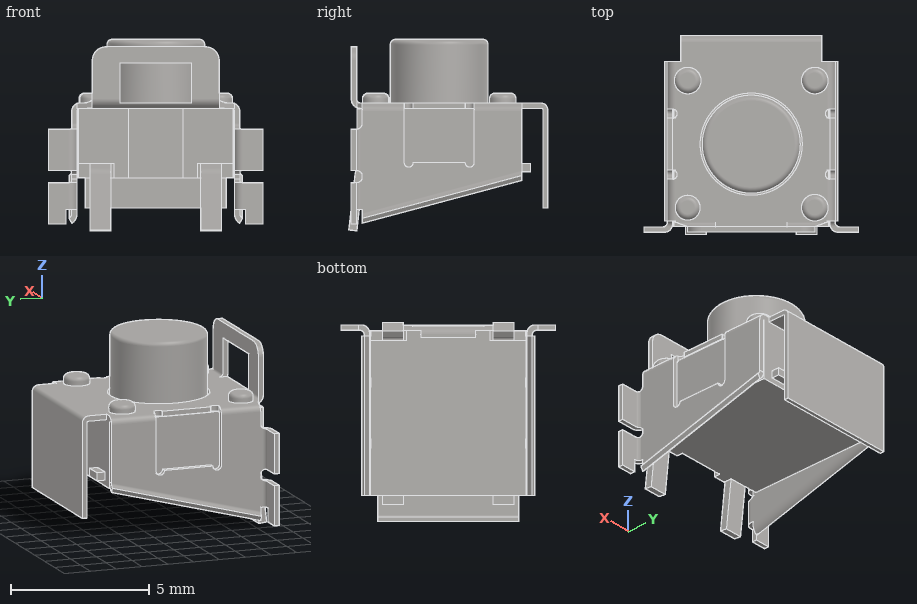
import cadquery as cq
import math


sheet = 0.2
bend_inner = 0.1
bend_outer = bend_inner + sheet
cover_half_width = 3.045
cover_inner_half = cover_half_width - sheet
cover_front = -2.79
cover_back = 2.99

body_half_width = 2.81
body_front = -2.98
body_bottom = -2.71
body_back = cover_back
panel_recess_width = 1.99
panel_recess_depth = 0.26
notch_inner_x = 1.51
notch_depth = 0.35

lip_slope = 15
lip_bend_angle = 60
lip_inner_radius = 0.19
lip_front_z = -4.01

window_half_length = 1.27
window_bottom = -2.16
relief_radius = 0.16

tab_tip_x = 3.885
tab_bend_inner = 0.15
tab_back = -2.99
tab_front = tab_back - sheet
tab_top_relief_radius = 0.2
tab_top = -0.95
tab_bottom = -4.38
tab_gap_radius = 0.22
tab_gap_z = -2.665
tab_notch_x = 3.24
tab_notch_z = -3.86

bail_half_width = 2.3
bail_root_half_width = cover_inner_half
bail_top = 2.035
bail_corner_radius = 0.5
bail_bend_inner = 0.14
bail_back = body_front
bail_front = bail_back - sheet
bail_window_width = 2.58
bail_window_top = 1.445

flap_width = 5.105
flap_back = 3.93
flap_bottom = -3.81
flap_thickness = 0.18
flap_bend_inner = 0.05
flap_bend_outer = 0.25

plunger_diameter = 3.55
plunger_hole_diameter = 3.7
plunger_top = 2.31
plunger_fillet = 0.2
rivet_x = 2.3
rivet_y = rivet_x
rivet_diameter = 0.96
small_rivet_diameter = 0.9
rivet_height = 0.36
rivet_fillet = 0.2

terminal_x = 2.005
terminal_width = 0.75
terminal_thickness = 0.3
terminal_top = -2.19
terminal_back = 3.31
leg_corner_y = -3.01
leg_tilt = math.radians(6.4)
leg_length = 2.425
leg_bend_outer = 0.45

SIDES = (-1, 1)


def block(x_min, x_max, y_min, y_max, z_min, z_max):
    """Box given by its limits along the three axes."""
    size = (x_max - x_min, y_max - y_min, z_max - z_min)
    return cq.Workplane("XY").box(*size, centered=False).translate((x_min, y_min, z_min))


def on_both_sides(solid):
    """The solid together with its mirror image across X = 0."""
    return solid.union(solid.mirror("YZ"))


def extrude_along_x(profile, width):
    """Closed YZ profile extruded to a width centred on X = 0."""
    return profile.close().extrude(width / 2, both=True)


def arc_midpoint(center_a, center_b, radius, degrees):
    """Point on a circle, used as the middle of an arc."""
    angle = math.radians(degrees)
    return (center_a + radius * math.cos(angle), center_b + radius * math.sin(angle))


def make_body():
    """Block with a recessed centre panel and two notches for the front terminals."""
    body = block(-body_half_width, body_half_width, body_front, body_back, body_bottom, -sheet)
    panel_half = panel_recess_width / 2
    panel_y = body_front + panel_recess_depth
    body = body.cut(block(-panel_half, panel_half, body_front, panel_y, body_bottom, -sheet))
    notch = block(
        notch_inner_x, body_half_width, body_front, body_front + notch_depth, body_bottom, terminal_top
    )
    return body.cut(on_both_sides(notch))


def make_cover_shell():
    """Top plate and two sides whose lower edges slope along the lip."""
    lip_back_z = lip_front_z + (cover_back - cover_front) * math.tan(math.radians(lip_slope))
    side_outline = (
        cq.Workplane("YZ")
        .moveTo(cover_front, 0)
        .lineTo(cover_back, 0)
        .lineTo(cover_back, lip_back_z)
        .lineTo(cover_front, lip_front_z)
    )
    shell = extrude_along_x(side_outline, 2 * cover_half_width)
    shell = shell.faces(">Z").edges("|Y").fillet(bend_outer)
    cavity = block(-cover_inner_half, cover_inner_half, cover_front, cover_back, lip_front_z, -sheet)
    cavity = cavity.faces(">Z").edges("|Y").fillet(bend_inner)
    hole = cq.Workplane("XY").circle(plunger_hole_diameter / 2).extrude(-sheet)
    return shell.cut(cavity).cut(hole)


def make_lip():
    """Outward bend under the right side, following its slanted lower edge."""
    angle = math.radians(lip_bend_angle)
    outer_radius = lip_inner_radius + sheet
    center_x = cover_half_width + lip_inner_radius
    sweep_middle = 180 + lip_bend_angle / 2
    sweep_end = 180 + lip_bend_angle
    profile = (
        cq.Workplane("XZ")
        .moveTo(cover_half_width, 0)
        .threePointArc(
            arc_midpoint(center_x, 0, lip_inner_radius, sweep_middle),
            arc_midpoint(center_x, 0, lip_inner_radius, sweep_end),
        )
        .lineTo(center_x - outer_radius * math.cos(angle), -outer_radius * math.sin(angle))
        .threePointArc(
            arc_midpoint(center_x, 0, outer_radius, sweep_middle),
            (cover_inner_half, 0),
        )
        .close()
    )
    stock = profile.extrude(2 * cover_back, both=True)
    stock = stock.rotate((0, 0, 0), (1, 0, 0), lip_slope)
    stock = stock.translate((0, cover_front, lip_front_z))
    return stock.intersect(block(0, tab_tip_x, cover_front, cover_back, tab_bottom - sheet, 0))


def make_side_window():
    """Opening through the bend and upper part of the right side, with corner reliefs."""
    outside_x = cover_half_width + sheet
    cutter = block(
        body_half_width, outside_x, -window_half_length, window_half_length, window_bottom, 0
    )
    relief_y = window_half_length - relief_radius
    relief_points = [(-relief_y, 0), (relief_y, 0)]
    side_reliefs = (
        cq.Workplane("YZ", origin=(body_half_width, 0, window_bottom))
        .pushPoints(relief_points)
        .circle(relief_radius)
        .extrude(outside_x - body_half_width)
    )
    plate_reliefs = (
        cq.Workplane("XY")
        .pushPoints([(cover_inner_half, y) for y, _ in relief_points])
        .circle(relief_radius)
        .extrude(-sheet)
    )
    return cutter.union(side_reliefs).union(plate_reliefs)


def make_window_tongue():
    """Flat stretch of the plate left between the two reliefs of the right window."""
    half_length = window_half_length - 2 * relief_radius
    bend_start = cover_half_width - bend_outer
    return block(bend_start, cover_inner_half, -half_length, half_length, -sheet, 0)


def make_tab_relief(radius, z):
    """Round-ended slot entering the right side from the front."""
    width = tab_tip_x - cover_inner_half
    disc = cq.Workplane("YZ", origin=(cover_inner_half, tab_back, z)).circle(radius).extrude(width)
    return disc.union(
        block(cover_inner_half, tab_tip_x, tab_front, tab_back, z - radius, z + radius)
    )


def make_solder_tabs():
    """Two tabs bent outward from the front edge of the right side."""
    inner_x = cover_half_width + tab_bend_inner
    inner_y = tab_back + tab_bend_inner
    outer_x = cover_inner_half + bend_outer
    outer_y = tab_front + bend_outer
    stock_top = tab_top + tab_top_relief_radius
    tabs = (
        cq.Workplane("XY", origin=(0, 0, tab_bottom))
        .moveTo(cover_inner_half, cover_front)
        .lineTo(cover_inner_half, outer_y)
        .threePointArc(arc_midpoint(outer_x, outer_y, bend_outer, 225), (outer_x, tab_front))
        .lineTo(tab_tip_x, tab_front)
        .lineTo(tab_tip_x, tab_back)
        .lineTo(inner_x, tab_back)
        .threePointArc(
            arc_midpoint(inner_x, inner_y, tab_bend_inner, 225), (cover_half_width, inner_y)
        )
        .lineTo(cover_half_width, cover_front)
        .close()
        .extrude(stock_top - tab_bottom)
    )
    foot_notch = block(
        cover_inner_half, tab_notch_x, tab_front, cover_front, tab_bottom, tab_notch_z
    )
    return (
        tabs.cut(make_tab_relief(tab_top_relief_radius, stock_top))
        .cut(make_tab_relief(tab_gap_radius, tab_gap_z))
        .cut(foot_notch)
    )


def make_bail():
    """Upright frame bent up from the front of the plate, with tapered roots."""
    bend_y = bail_back + bail_bend_inner
    bail_bend_outer = bail_bend_inner + sheet
    profile = (
        cq.Workplane("YZ")
        .moveTo(cover_front, 0)
        .lineTo(bend_y, 0)
        .threePointArc(
            arc_midpoint(bend_y, bail_bend_inner, bail_bend_inner, 225), (bail_back, bail_bend_inner)
        )
        .lineTo(bail_back, bail_top)
        .lineTo(bail_front, bail_top)
        .lineTo(bail_front, bail_bend_inner)
        .threePointArc(
            arc_midpoint(bend_y, bail_bend_inner, bail_bend_outer, 225), (bend_y, -sheet)
        )
        .lineTo(cover_front, -sheet)
    )
    frame = extrude_along_x(profile, 2 * bail_root_half_width)
    outline = (
        cq.Workplane("XY", origin=(0, 0, -sheet))
        .polyline([
            (-bail_root_half_width, cover_front),
            (-bail_half_width, bail_back),
            (-bail_half_width, bail_front),
            (bail_half_width, bail_front),
            (bail_half_width, bail_back),
            (bail_root_half_width, cover_front),
        ])
        .close()
        .extrude(bail_top + sheet)
    )
    frame = frame.intersect(outline)
    frame = frame.faces(">Z").edges("|Y").fillet(bail_corner_radius)
    half_window = bail_window_width / 2
    return frame.cut(
        block(-half_window, half_window, bail_front, cover_front, 0, bail_window_top)
    )


def make_flap():
    """Rear extension of the plate, bent straight down and slightly thinner."""
    outer_y = flap_back - flap_bend_outer
    outer_z = -flap_bend_outer
    flap_front = flap_back - flap_thickness
    inner_y = flap_front - flap_bend_inner
    inner_z = -sheet - flap_bend_inner
    profile = (
        cq.Workplane("YZ")
        .moveTo(cover_back, 0)
        .lineTo(outer_y, 0)
        .threePointArc(arc_midpoint(outer_y, outer_z, flap_bend_outer, 45), (flap_back, outer_z))
        .lineTo(flap_back, flap_bottom)
        .lineTo(flap_front, flap_bottom)
        .lineTo(flap_front, inner_z)
        .threePointArc(arc_midpoint(inner_y, inner_z, flap_bend_inner, 45), (inner_y, -sheet))
        .lineTo(cover_back, -sheet)
    )
    return extrude_along_x(profile, flap_width)


def make_round_head(x, y, diameter, bottom, top, fillet):
    """Upright cylinder with a rounded top edge."""
    head = cq.Workplane("XY", origin=(x, y, bottom)).circle(diameter / 2).extrude(top - bottom)
    return head.faces(">Z").edges().fillet(fillet)


def make_terminals():
    """Right-hand front leg, bent down and tilted forward, and the rear stub."""
    inner_shift = terminal_thickness * (1 - math.sin(leg_tilt)) / math.cos(leg_tilt)
    tip_y = leg_corner_y - leg_length * math.sin(leg_tilt)
    tip_z = terminal_top - leg_length * math.cos(leg_tilt)
    arm_bottom = terminal_top - terminal_thickness
    arm_back = body_front + 2 * notch_depth
    profile = cq.Workplane("YZ").polyline([
        (arm_back, terminal_top),
        (leg_corner_y, terminal_top),
        (tip_y, tip_z),
        (
            tip_y + terminal_thickness * math.cos(leg_tilt),
            tip_z - terminal_thickness * math.sin(leg_tilt),
        ),
        (leg_corner_y + inner_shift, arm_bottom),
        (arm_back, arm_bottom),
    ])
    leg = extrude_along_x(profile, terminal_width)
    inner_corner = cq.selectors.NearestToPointSelector((0, leg_corner_y + inner_shift, arm_bottom))
    outer_corner = cq.selectors.NearestToPointSelector((0, leg_corner_y, terminal_top))
    leg = leg.edges("|X").edges(inner_corner).fillet(bend_inner)
    leg = leg.edges("|X").edges(outer_corner).fillet(leg_bend_outer)
    half_width = terminal_width / 2
    stub = block(-half_width, half_width, body_back, terminal_back, arm_bottom, terminal_top)
    return leg.union(stub).translate((terminal_x, 0, 0))


cover = make_cover_shell().union(on_both_sides(make_lip()))
cover = cover.cut(on_both_sides(make_side_window()))
cover = cover.union(on_both_sides(make_window_tongue()))
cover = cover.union(on_both_sides(make_solder_tabs()))
cover = cover.union(make_bail()).union(make_flap())

result = make_body().union(cover).union(on_both_sides(make_terminals()))
result = result.union(
    make_round_head(0, 0, plunger_diameter, -sheet, plunger_top, plunger_fillet)
)
for side_x in SIDES:
    for side_y in SIDES:
        is_small = side_x < 0 and side_y < 0
        diameter = small_rivet_diameter if is_small else rivet_diameter
        result = result.union(
            make_round_head(
                side_x * rivet_x, side_y * rivet_y, diameter, -sheet, rivet_height, rivet_fillet
            )
        )